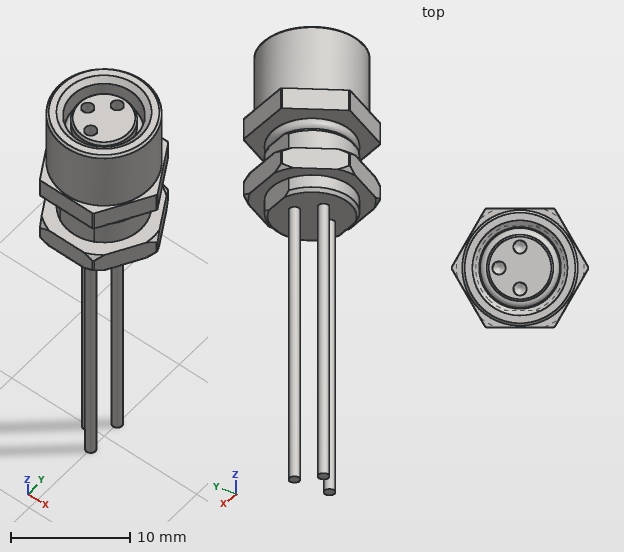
import cadquery as cq
import math

top_z = 43.0
flange_top_z = 36.5
flange_bottom_z = 34.5
seal_section_diameter = 1.1
body_top_z = flange_bottom_z - seal_section_diameter
body_bottom_z = 27.0
nut_bottom_z = 28.55

hex_across_flats = 10.0
hex_corner_diameter = 11.5
hex_height = flange_top_z - flange_bottom_z
nut_chamfer = 0.4

housing_diameter = 9.7
rim_chamfer = 0.2
socket_diameter = 6.9
socket_depth = 3.0
socket_floor_z = top_z - socket_depth
mouth_chamfer_width = 0.55
mouth_chamfer_height = 0.45

insert_diameter = 5.6
insert_recess = 0.77
insert_face_z = top_z - insert_recess
insert_chamfer_width = 0.17
insert_chamfer_height = 0.25
insert_seal_diameter = 6.7
insert_seal_section_diameter = 1.1

body_diameter = 8.0
body_across_flats = 7.1
body_chamfer_width = 0.25
body_chamfer_height = 0.35

contact_radius = 1.75
contact_positions = [(-contact_radius, 0), (0, contact_radius), (0, -contact_radius)]
contact_hole_diameter = 1.1
contact_hole_depth = 2.15
contact_tip_depth = 0.35
wire_diameter = 1.0

overlap = 0.45


def cylinder(diameter, bottom_z, upper_z):
    return cq.Workplane("XY").workplane(offset=bottom_z).circle(diameter / 2).extrude(upper_z - bottom_z)


def revolved(points):
    """Solid of revolution about Z from a closed (radius, z) outline."""
    return cq.Workplane("XZ").polyline(points).close().revolve(360, (0, 0), (0, 1))


def seal(outer_diameter, section_diameter, bottom_z):
    """Disc with a half-round rim, the exposed part of a sealing ring."""
    section_radius = section_diameter / 2
    outer_radius = outer_diameter / 2
    crown_radius = outer_radius - section_radius
    upper_z = bottom_z + section_diameter
    return (
        cq.Workplane("XZ")
        .moveTo(0, bottom_z)
        .lineTo(crown_radius, bottom_z)
        .threePointArc((outer_radius, bottom_z + section_radius), (crown_radius, upper_z))
        .lineTo(0, upper_z)
        .close()
        .revolve(360, (0, 0), (0, 1))
    )


def hexagon(bottom_z, corner_chamfer=0):
    """Hexagonal plate with corners on X, its corners trimmed by a coaxial cylinder."""
    plate = (
        cq.Workplane("XY")
        .workplane(offset=bottom_z)
        .polygon(6, hex_across_flats / math.cos(math.pi / 6))
        .extrude(hex_height)
    )
    trim = cylinder(hex_corner_diameter, bottom_z, bottom_z + hex_height)
    if corner_chamfer:
        trim = trim.edges("%CIRCLE").chamfer(corner_chamfer)
    return plate.intersect(trim)


def make_housing():
    housing = cylinder(housing_diameter, flange_bottom_z, top_z).faces(">Z").edges().chamfer(rim_chamfer)
    housing = housing.union(hexagon(flange_bottom_z))
    socket_radius = socket_diameter / 2
    socket = revolved([
        (0, socket_floor_z),
        (socket_radius, socket_floor_z),
        (socket_radius, top_z - mouth_chamfer_height),
        (socket_radius + mouth_chamfer_width, top_z),
        (0, top_z),
    ])
    return housing.cut(socket)


def make_nut():
    """Chamfered nut with a round bore, which leaves a gap beside each flat of the body."""
    bore = cylinder(body_diameter, nut_bottom_z, nut_bottom_z + hex_height)
    return hexagon(nut_bottom_z, nut_chamfer).cut(bore)


def make_insert():
    radius = insert_diameter / 2
    insert = revolved([
        (0, socket_floor_z - overlap),
        (radius, socket_floor_z - overlap),
        (radius, insert_face_z - insert_chamfer_height),
        (radius - insert_chamfer_width, insert_face_z),
        (0, insert_face_z),
    ])
    return insert.union(seal(insert_seal_diameter, insert_seal_section_diameter, socket_floor_z))


def make_contact_holes():
    """Blind holes with conical tips, open at the face of the insert."""
    radius = contact_hole_diameter / 2
    hole = revolved([
        (0, 0),
        (radius, 0),
        (radius, -contact_hole_depth),
        (0, -contact_hole_depth - contact_tip_depth),
    ])
    holes = cq.Workplane("XY")
    for x, y in contact_positions:
        holes = holes.add(hole.translate((x, y, insert_face_z)))
    return holes.combine()


def make_body():
    radius = body_diameter / 2
    end_radius = radius - body_chamfer_width
    body = revolved([
        (0, body_bottom_z),
        (end_radius, body_bottom_z),
        (radius, body_bottom_z + body_chamfer_height),
        (radius, body_top_z - body_chamfer_height),
        (end_radius, body_top_z),
        (0, body_top_z),
    ])
    height = body_top_z - body_bottom_z
    flats = cq.Workplane("XY").box(body_diameter, body_across_flats, height)
    return body.intersect(flats.translate((0, 0, body_bottom_z + height / 2)))


def make_wires():
    wires = cq.Workplane("XY").pushPoints(contact_positions).circle(wire_diameter / 2)
    return wires.extrude(body_bottom_z + overlap)


body_seal = seal(body_diameter, seal_section_diameter, body_top_z)

result = (
    make_housing()
    .union(make_insert())
    .cut(make_contact_holes())
    .union(body_seal)
    .union(make_body())
    .union(make_nut())
    .union(make_wires())
)